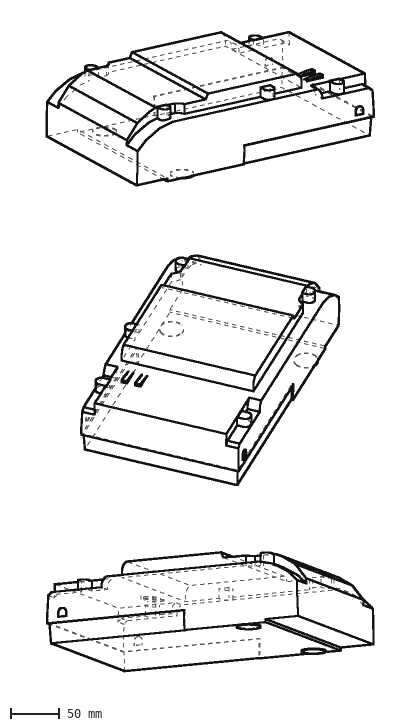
import cadquery as cq

length = 288.5
half_width = 86.7
edge_half_width = 85.55
foot_height = 1.0
seam_z = 27.5
deck_z = 65.0
front_step_y = 37.5
front_step_z = 4.0
front_lean = 0.025
deck_back_y = length - 1.7
underside_back_y = length - 1.5

recess_top_z = 21.5
recess_front_y = 131.0
recess_depth = 1.7

shoulder_points = [(44.0, deck_z), (28.3, 61.2), (11.0, 51.4)]
shoulder_foot_z = 41.5

hood_half_width = 72.5
nose_half_width = 65.2
nose_corner_bulge = 1.0
nose_back_y = 60.0
nose_corner_back_y = 67.0
hood_base_z = 28.8
screen_z = 81.5
screen_front_y = 95.5
screen_back_y = 204.0
screen_back_wall_y = 209.5
screen_back_edge_z = 72.0
screen_round_middle = (207.7, 78.0)
nose_z = 75.5
nose_top_back_y = 92.5
nose_slope_points = [(36.4, nose_z), (29.5, 73.0), (13.8, 63.2)]
nose_foot_z = 47.0

ledge_z = 54.0
ledge_front_y = 226.2
ledge_wall_z = 56.0
ledge_round_middle = (224.7, 61.0)
ledge_round_front_y = 221.0
ledge_chamfer_y = 283.5
ledge_chamfer_z = 49.5

pin_radius = 5.9
ledge_pin_y = 249.8
hood_pin_y = 165.3
nose_pin_y = 44.0
outer_pin_x = 79.3
nose_pin_x = 70.5
nose_pin_root_x = nose_half_width - 1.0
left_ledge_pin_z = 64.3
right_ledge_pin_z = deck_z + 0.3
right_ledge_pin_root_x = 71.5
hood_pin_z = 75.3
nose_pin_z = nose_z + 0.3

fin_width = 5.8
fin_centres_x = (41.5, 56.5)
fin_front_y = 224.2
fin_crest_y = 237.7
fin_back_y = 243.8
fin_root_z = deck_z - 3.0
fin_crest_z = deck_z + 2.3
fin_back_z = deck_z + 3.0

notch_width = 9.0
notch_y = 271.2
notch_height = 9.0
notch_depth = 1.0

foot_diameter = 24.8
foot_x = 74.0
foot_y = 63.0


def front_face_y(z):
    return front_lean * (z - front_step_z)


def extrude_along_x(outline, x_start, x_end):
    """Extrude a closed YZ outline between two X positions."""
    return outline.extrude(x_end - x_start).translate((x_start, 0, 0))


def make_housing():
    side = (
        cq.Workplane("YZ")
        .polyline([
            (0, front_step_z),
            (front_face_y(shoulder_foot_z), shoulder_foot_z),
            *reversed(shoulder_points),
            (deck_back_y, deck_z),
            (length, seam_z),
            (length, recess_top_z),
            (underside_back_y, foot_height),
            (front_step_y, foot_height),
            (front_step_y, front_step_z),
        ])
        .close()
    )
    section = (
        cq.Workplane("XZ")
        .polyline([
            (-edge_half_width, foot_height),
            (-half_width, seam_z),
            (-edge_half_width, deck_z),
            (edge_half_width, deck_z),
            (half_width, seam_z),
            (edge_half_width, foot_height),
        ])
        .close()
        .extrude(-length)
    )
    return extrude_along_x(side, -half_width, half_width).intersect(section)


def make_recess_cut():
    """Ring that thins the lower rear walls, leaving a core with the same draft."""
    draft = (half_width - edge_half_width) / (seam_z - foot_height)
    core_half_width = edge_half_width - recess_depth
    core_top_half_width = core_half_width + draft * recess_top_z
    core_back_y = underside_back_y - recess_depth
    core = (
        cq.Workplane("XZ")
        .polyline([
            (-core_half_width, 0),
            (-core_top_half_width, recess_top_z),
            (core_top_half_width, recess_top_z),
            (core_half_width, 0),
        ])
        .close()
        .extrude(-length)
    )
    back_slope = (
        cq.Workplane("YZ")
        .polyline([
            (0, 0),
            (core_back_y, 0),
            (length - recess_depth, recess_top_z),
            (0, recess_top_z),
        ])
        .close()
    )
    core = core.intersect(extrude_along_x(back_slope, -half_width, half_width))
    block = cq.Workplane("XY").box(
        2 * half_width, length - recess_front_y, recess_top_z, centered=(True, False, False)
    )
    return block.translate((0, recess_front_y, 0)).cut(core)


def make_hood():
    side = (
        cq.Workplane("YZ")
        .moveTo(front_face_y(hood_base_z), hood_base_z)
        .lineTo(front_face_y(nose_foot_z), nose_foot_z)
    )
    for y, z in reversed(nose_slope_points):
        side = side.lineTo(y, z)
    side = (
        side.lineTo(nose_top_back_y, nose_z)
        .lineTo(screen_front_y, screen_z)
        .lineTo(screen_back_y, screen_z)
        .threePointArc(screen_round_middle, (screen_back_wall_y, screen_back_edge_z))
        .lineTo(screen_back_wall_y, hood_base_z)
        .close()
    )
    hood = extrude_along_x(side, -hood_half_width, hood_half_width)
    for direction in (-1, 1):
        corner = (
            cq.Workplane("XY")
            .moveTo(direction * half_width, 0)
            .lineTo(direction * nose_half_width, 0)
            .lineTo(direction * nose_half_width, nose_back_y)
            .sagittaArc((direction * hood_half_width, nose_corner_back_y), direction * nose_corner_bulge)
            .lineTo(direction * half_width, nose_corner_back_y)
            .close()
            .extrude(screen_z)
        )
        hood = hood.cut(corner)
    return hood


def make_ledge_cut(direction):
    side = (
        cq.Workplane("YZ")
        .moveTo(length, ledge_chamfer_z)
        .lineTo(ledge_chamfer_y, ledge_z)
        .lineTo(ledge_front_y, ledge_z)
        .lineTo(ledge_front_y, ledge_wall_z)
        .threePointArc(ledge_round_middle, (ledge_round_front_y, deck_z))
        .lineTo(length, deck_z)
        .close()
    )
    inner_x, outer_x = sorted((direction * hood_half_width, direction * half_width))
    return extrude_along_x(side, inner_x, outer_x)


def make_pin(direction, root_x, centre_x, y, base_z, top_z):
    """Round-ended pin that joins the wall at root_x on one side of the part."""
    height = top_z - base_z
    shank = (
        cq.Workplane("XY")
        .box(centre_x - root_x, 2 * pin_radius, height, centered=(True, True, False))
        .translate((direction * (root_x + centre_x) / 2, y, base_z))
    )
    tip = cq.Workplane("XY").circle(pin_radius).extrude(height)
    return shank.union(tip.translate((direction * centre_x, y, base_z)))


def make_fin(centre_x):
    side = (
        cq.Workplane("YZ")
        .moveTo(fin_front_y, deck_z)
        .threePointArc((fin_crest_y, fin_crest_z), (fin_back_y, fin_back_z))
        .lineTo(fin_back_y, fin_root_z)
        .lineTo(fin_front_y, fin_root_z)
        .close()
    )
    return extrude_along_x(side, centre_x - fin_width / 2, centre_x + fin_width / 2)


def make_notch_cut(direction):
    arch_radius = notch_width / 2
    spring_z = seam_z + notch_height - arch_radius
    arch = (
        cq.Workplane("YZ")
        .moveTo(notch_y - arch_radius, seam_z)
        .lineTo(notch_y - arch_radius, spring_z)
        .threePointArc((notch_y, spring_z + arch_radius), (notch_y + arch_radius, spring_z))
        .lineTo(notch_y + arch_radius, seam_z)
        .close()
    )
    inner_x, outer_x = sorted((direction * (half_width - notch_depth), direction * half_width))
    return extrude_along_x(arch, inner_x, outer_x)


result = make_housing().cut(make_recess_cut()).union(make_hood())

for side_direction in (-1, 1):
    result = result.cut(make_ledge_cut(side_direction))
    result = result.cut(make_notch_cut(side_direction))

for side_direction in (-1, 1):
    nose_pin = make_pin(
        side_direction, nose_pin_root_x, nose_pin_x, nose_pin_y, ledge_z, nose_pin_z
    )
    foot = cq.Workplane("XY").circle(foot_diameter / 2).extrude(foot_height)
    result = result.union(nose_pin)
    result = result.union(foot.translate((side_direction * foot_x, foot_y, 0)))

result = result.union(
    make_pin(-1, hood_half_width, outer_pin_x, ledge_pin_y, ledge_z, left_ledge_pin_z)
)
result = result.union(
    make_pin(1, right_ledge_pin_root_x, outer_pin_x, ledge_pin_y, ledge_z, right_ledge_pin_z)
)
result = result.union(
    make_pin(1, hood_half_width, outer_pin_x, hood_pin_y, ledge_z, hood_pin_z)
)

for fin_x in fin_centres_x:
    result = result.union(make_fin(fin_x))